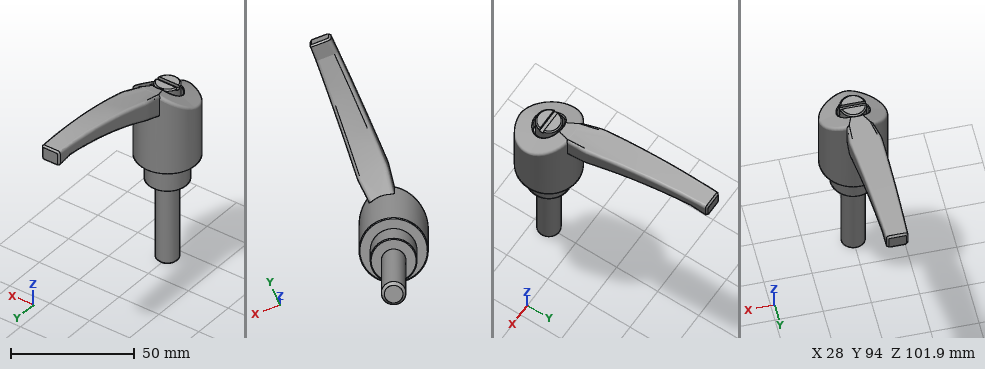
import cadquery as cq
import math

STUD_DIAMETER = 10.0
STUD_CHAMFER = 1.2
BUSHING_DIAMETER = 19.0
BUSHING_BOTTOM = 40.1
BUSHING_CHAMFER = 0.4

HUB_DIAMETER = 28.0
HUB_BOTTOM = 52.1
HUB_CHAMFER = 0.4
HUB_RIM_FILLET = 1.2

APEX_HEIGHT = 87.4
TOP_TILT = 0.4
SIDE_FALL = 0.44
LENGTH_FALL = 0.1
REAR_FLAT = 0.37
CONE_DEPTH = 10.2
APEX_DEPTH = 0.1

WALL_TOLERANCE = 0.01

POCKET_DIAMETER = 13.0
POCKET_FLOOR = 77.5
POCKET_CHAMFER = 0.5
SCREW_DIAMETER = 11.0
SCREW_TOP = 88.2
SCREW_CHAMFER = 0.6
SLOT_WIDTH = 1.9
SLOT_DEPTH = 1.4

HANDLE_TIP_Y = 80.0
HANDLE_TOP = 101.9
HANDLE_TIP_BOTTOM = 94.6
TOP_MIDPOINT = (38.1, 97.9)
UNDERSIDE_MIDPOINT = (40.3, 90.4)
UNDERSIDE_LIP = (72.4, 96.0)
HANDLE_ROOT_Y = 11.2
HANDLE_ROOT_BOTTOM = 79.6
ROOT_SINK = 0.1
TIP_HALF_WIDTH = 4.5
GRIP_HALF_WIDTH = 6.7
ROOT_HALF_WIDTH = 5.3
GRIP_Y = 22.3
GRIP_BLEND = 16.3
HANDLE_FILLET = 1.4
TIP_CHAMFER = 0.8


def cylinder(diameter, bottom, top):
    return cq.Workplane("XY", origin=(0, 0, bottom)).circle(diameter / 2).extrude(top - bottom)


def tilted_plane(depth):
    """Plane parallel to the cone base, at a vertical depth below the apex."""
    return cq.Plane(
        origin=(0, 0, APEX_HEIGHT - depth),
        xDir=(1, 0, 0),
        normal=(0, -TOP_TILT, 1),
    )


def cone_section(depth):
    """Cone outline: half ellipse in front, straight sides and a flat at the rear."""
    stretch = math.hypot(1, TOP_TILT)
    half_width = depth / SIDE_FALL
    half_length = depth / LENGTH_FALL * stretch
    rear_half_width = REAR_FLAT * depth / LENGTH_FALL
    plane = tilted_plane(depth)
    front_edge = cq.Edge.makeEllipse(
        half_length, half_width, plane.origin, plane.zDir, -plane.yDir, -90, 90
    )
    rear_points = [
        (half_width, 0),
        (rear_half_width, half_length),
        (-rear_half_width, half_length),
        (-half_width, 0),
    ]
    corners = [plane.toWorldCoords(point) for point in rear_points]
    rear_edges = [cq.Edge.makeLine(start, end) for start, end in zip(corners, corners[1:])]
    return cq.Wire.assembleEdges([front_edge, *rear_edges])


def on_wall(edge, diameter):
    """True for an edge that runs around the vertical cylinder of this diameter."""
    places = [edge.positionAt(t) for t in (0, 0.5, 1)]
    touching = all(abs(math.hypot(p.x, p.y) - diameter / 2) < WALL_TOLERANCE for p in places)
    upright = abs(edge.tangentAt(0.5).z) > 1 - WALL_TOLERANCE
    return touching and not upright


def upper_rim(body, diameter, bottom):
    """Edges around a vertical cylinder, all those centred above a height."""
    return body.edges().filter(
        lambda edge: edge.Center().z > bottom and on_wall(edge, diameter)
    )


def make_hub():
    hub = cylinder(HUB_DIAMETER, HUB_BOTTOM, HANDLE_TOP)
    base_plane = tilted_plane(CONE_DEPTH)
    above = cq.Workplane(base_plane).rect(4 * HUB_DIAMETER, 4 * HUB_DIAMETER).extrude(HANDLE_TOP)
    cone = cq.Solid.makeLoft([cone_section(CONE_DEPTH), cone_section(APEX_DEPTH)], True)
    hub = hub.cut(above.cut(cq.Workplane(obj=cone)))
    hub = hub.faces("<Z").edges().chamfer(HUB_CHAMFER)
    rim = upper_rim(hub, HUB_DIAMETER, HUB_BOTTOM + 1)
    return rim.fillet(HUB_RIM_FILLET)


def cut_pocket(body):
    body = body.cut(cylinder(POCKET_DIAMETER, POCKET_FLOOR, HANDLE_TOP))
    floor_clearance = POCKET_FLOOR + POCKET_CHAMFER
    return upper_rim(body, POCKET_DIAMETER, floor_clearance).chamfer(POCKET_CHAMFER)


def make_handle():
    rear_rise = TOP_TILT - LENGTH_FALL
    root_top = APEX_HEIGHT + rear_rise * HANDLE_ROOT_Y - ROOT_SINK
    side = (
        cq.Workplane("YZ")
        .moveTo(HANDLE_ROOT_Y, root_top)
        .threePointArc(TOP_MIDPOINT, (HANDLE_TIP_Y, HANDLE_TOP))
        .lineTo(HANDLE_TIP_Y, HANDLE_TIP_BOTTOM)
        .lineTo(*UNDERSIDE_LIP)
        .threePointArc(UNDERSIDE_MIDPOINT, (HANDLE_ROOT_Y, HANDLE_ROOT_BOTTOM))
        .close()
        .extrude(HUB_DIAMETER / 2, both=True)
    )
    right_outline = [
        (ROOT_HALF_WIDTH, HANDLE_ROOT_Y),
        (GRIP_HALF_WIDTH, GRIP_Y),
        (TIP_HALF_WIDTH, HANDLE_TIP_Y),
    ]
    left_outline = [(-x, y) for x, y in reversed(right_outline)]
    plan = cq.Workplane("XY").polyline(right_outline + left_outline).close().extrude(2 * HANDLE_TOP)
    grip_corners = plan.edges("|Z").filter(lambda edge: abs(edge.Center().y - GRIP_Y) < WALL_TOLERANCE)
    plan = grip_corners.fillet(GRIP_BLEND)
    handle = side.intersect(plan)
    long_edges = handle.edges("not(|X or |Z)")
    return long_edges.fillet(HANDLE_FILLET).faces(">Y").chamfer(TIP_CHAMFER)


def make_screw():
    screw = cylinder(SCREW_DIAMETER, POCKET_FLOOR, SCREW_TOP).faces(">Z").chamfer(SCREW_CHAMFER)
    slot = (
        cq.Workplane("XY", origin=(0, 0, SCREW_TOP - SLOT_DEPTH))
        .rect(2 * SCREW_DIAMETER, SLOT_WIDTH)
        .extrude(2 * SLOT_DEPTH)
    )
    return screw.cut(slot)


stud = cylinder(STUD_DIAMETER, 0, BUSHING_BOTTOM).faces("<Z").chamfer(STUD_CHAMFER)
bushing = cylinder(BUSHING_DIAMETER, BUSHING_BOTTOM, HUB_BOTTOM).faces("<Z").chamfer(BUSHING_CHAMFER)
body = cut_pocket(make_hub().union(make_handle()))
result = body.union(make_screw()).union(bushing).union(stud)